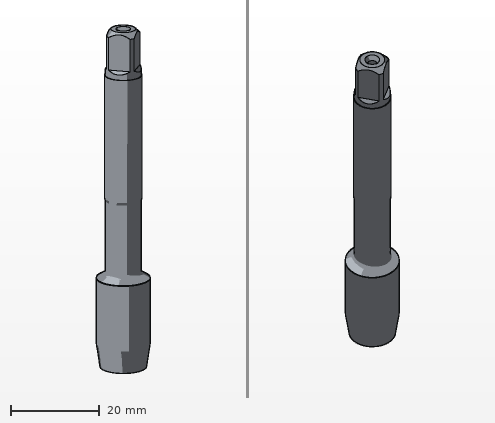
import cadquery as cq
import math

total_length = 80.0
cutter_length = 21.0
lead_top = 5.6
tip_rim_height = 0.2
neck_bottom = 23.0
shank_bottom = 40.1
neck_step_height = 0.6
collar_top = total_length - 10.9

cutter_diameter = 12.2
tip_diameter = 10.6
shank_diameter = 8.5
neck_diameter = 8.2

shoulder_slope = 30.0
shoulder_fillet_radius = 1.0

square_size = 6.5
square_length = 9.0
square_floor_slope = 40.0
end_chamfer = 1.3

centre_diameter = 2.0
countersink_diameter = 3.3
countersink_angle = 60.0
centre_depth = 3.2
drill_point_angle = 118.0


def revolve_profile(profile):
    """Turn a closed profile, drawn as (radius, height), around the Z axis."""
    return profile.close().revolve(360, (0, 0), (0, 1))


def make_cutter():
    """Cylindrical cutting section with a tapered lead and a slightly conical tip."""
    radius = cutter_diameter / 2
    profile = (
        cq.Workplane("XZ")
        .lineTo(tip_diameter / 2, tip_rim_height)
        .lineTo(radius, lead_top)
        .lineTo(radius, cutter_length)
        .lineTo(0, cutter_length)
    )
    return revolve_profile(profile)


def make_shank_blank():
    """Round shank, neck and shoulder, with a conical chamfer on the top end."""
    neck_radius = neck_diameter / 2
    shank_radius = shank_diameter / 2
    base_radius = cutter_diameter / 2

    slope = math.radians(shoulder_slope)
    fillet_centre_radius = neck_radius + shoulder_fillet_radius
    fillet_end_radius = fillet_centre_radius - shoulder_fillet_radius * math.sin(slope)
    fillet_end_height = neck_bottom - shoulder_fillet_radius * math.cos(slope)
    cone_drop = (base_radius - fillet_end_radius) * math.tan(slope)
    base_rim_height = fillet_end_height - cone_drop
    middle_angle = math.radians(90 - shoulder_slope) / 2
    fillet_middle = (
        fillet_centre_radius - shoulder_fillet_radius * math.cos(middle_angle),
        neck_bottom - shoulder_fillet_radius * math.sin(middle_angle),
    )

    profile = (
        cq.Workplane("XZ")
        .moveTo(0, cutter_length)
        .lineTo(base_radius, cutter_length)
        .lineTo(base_radius, base_rim_height)
        .lineTo(fillet_end_radius, fillet_end_height)
        .threePointArc(fillet_middle, (neck_radius, neck_bottom))
        .lineTo(neck_radius, shank_bottom - neck_step_height)
        .lineTo(shank_radius, shank_bottom)
        .lineTo(shank_radius, collar_top)
        .lineTo(neck_radius, collar_top)
        .lineTo(neck_radius, total_length - end_chamfer)
        .lineTo(neck_radius - end_chamfer, total_length)
        .lineTo(0, total_length)
    )
    return revolve_profile(profile)


def make_flat_cutter():
    """Tool that mills the +X flat, with a floor sloping down and outward."""
    inner = square_size / 2
    outer = shank_diameter
    floor = total_length - square_length
    floor_drop = (outer - inner) * math.tan(math.radians(square_floor_slope))
    outline = [
        (inner, total_length),
        (inner, floor),
        (outer, floor - floor_drop),
        (outer, total_length),
    ]
    return cq.Workplane("XZ").polyline(outline).close().extrude(shank_diameter / 2, both=True)


def make_centre_hole():
    """Countersunk blind hole with a conical drill point."""
    hole_radius = centre_diameter / 2
    sink_radius = countersink_diameter / 2
    sink_depth = (sink_radius - hole_radius) / math.tan(math.radians(countersink_angle / 2))
    point_length = hole_radius / math.tan(math.radians(drill_point_angle / 2))
    profile = (
        cq.Workplane("XZ")
        .moveTo(0, total_length)
        .lineTo(sink_radius, total_length)
        .lineTo(hole_radius, total_length - sink_depth)
        .lineTo(hole_radius, total_length - centre_depth)
        .lineTo(0, total_length - centre_depth - point_length)
    )
    return revolve_profile(profile)


def make_shank():
    """Shank with its square drive and centre hole."""
    shank = make_shank_blank()
    for angle in range(0, 360, 90):
        shank = shank.cut(make_flat_cutter().rotate((0, 0, 0), (0, 0, 1), angle))
    return shank.cut(make_centre_hole())


cutter = make_cutter()
shank = make_shank()

result = cq.Compound.makeCompound([cutter.val(), shank.val()])